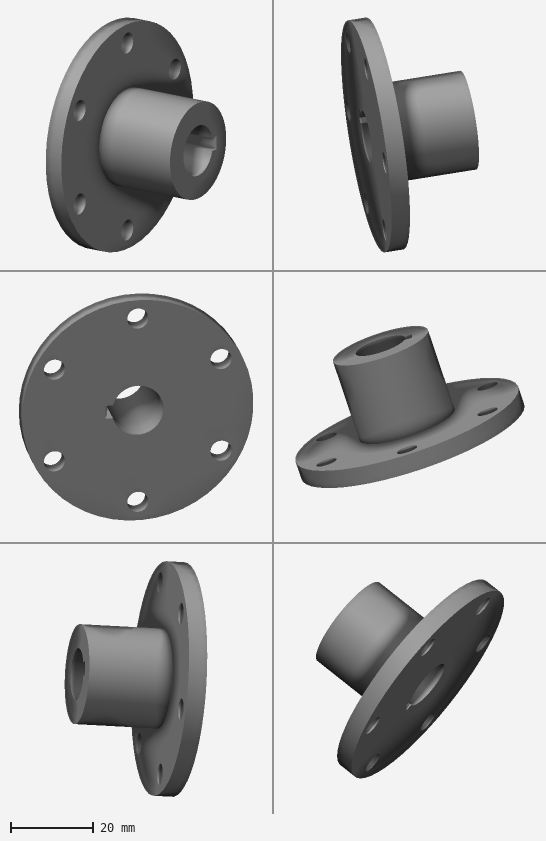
import cadquery as cq

flange_diameter = 57.15
flange_thickness = 4.6
hub_diameter = 24.35
total_length = 25.4

bore_diameter = 12.7
keyway_width = 3.3
keyway_reach = 8.0

bolt_hole_count = 6
bolt_hole_diameter = 5.2
bolt_circle_diameter = 47.55
first_bolt_angle = 90


def make_body():
    """Flange with its outer face at X = 0 and the hub extending toward +X."""
    flange = cq.Workplane("YZ").circle(flange_diameter / 2).extrude(flange_thickness)
    hub = cq.Workplane("YZ").circle(hub_diameter / 2).extrude(total_length)
    return flange.union(hub)


def make_keyed_bore():
    """Through bore joined with a rectangular keyway along its full length."""
    bore = cq.Workplane("YZ").circle(bore_diameter / 2).extrude(total_length)
    keyway = (
        cq.Workplane("YZ")
        .center(keyway_reach / 2, 0)
        .rect(keyway_reach, keyway_width)
        .extrude(total_length)
    )
    return bore.union(keyway)


def make_bolt_holes():
    """Ring of cylinders that pass through the flange."""
    return (
        cq.Workplane("YZ")
        .polarArray(bolt_circle_diameter / 2, first_bolt_angle, 360, bolt_hole_count)
        .circle(bolt_hole_diameter / 2)
        .extrude(flange_thickness)
    )


result = make_body().cut(make_keyed_bore()).cut(make_bolt_holes())